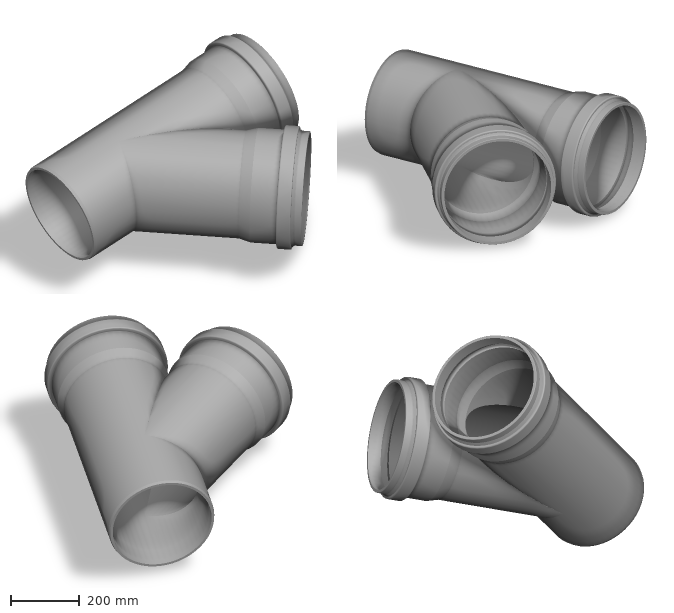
import cadquery as cq
import math

pipe_outer_d = 315.3
pipe_bore_d = 295.3
end_chamfer_length = 9.0
end_chamfer_angle = 15.0

body_outer_d = 334.7
body_inner_d = 317.1
rim_outer_d = 335.1
rim_inner_d = 317.5
ring_outer_d = 360.8
groove_d = 343.2
flare_d = 346.0

rim_length = 22.0
ring_start = 31.0
ring_end = 73.5
body_end = 151.0
taper_end = 186.0
ring_fillet = 4.0
mouth_fillet = 1.5
root_fillet = 1.5
ring_wall = (ring_outer_d - groove_d) / 2

overall_x = 685.0
overall_y = 767.0
spigot_length = 224.0
branch_angle = 45.0
crotch_fillet = 1.5
run_length = overall_y - spigot_length

pick_margin = 0.05
crotch_margin = 2.0

tilt = math.radians(branch_angle)
corner_reach = (
    (rim_outer_d / 2 - mouth_fillet) * math.cos(tilt)
    - mouth_fillet * math.sin(tilt)
    + mouth_fillet
)
branch_length = (overall_x - ring_outer_d / 2 - corner_reach) / math.sin(tilt)


def revolve_about_y(points):
    return cq.Workplane("XY").polyline(points).close().revolve(360, (0, 0, 0), (0, 1, 0))


def fillet_roots(arm, mouth):
    """Round the two inner corners: rim to flare, and ring to socket body."""
    roots = [
        (rim_outer_d / 2, mouth - rim_length),
        (body_outer_d / 2, mouth - ring_end),
    ]
    for radius, height in roots:
        box = cq.selectors.BoxSelector(
            (-radius - pick_margin, height - pick_margin, -radius - pick_margin),
            (radius + pick_margin, height + pick_margin, radius + pick_margin),
            boundingbox=True,
        )
        arm = arm.edges(box).edges("%CIRCLE").fillet(root_fillet)
    return arm


def arm_outside(mouth):
    """Outer shape of a pipe along +Y from the origin, with its socket mouth at y = mouth."""
    arm = revolve_about_y([
        (0, 0),
        (pipe_outer_d / 2, 0),
        (pipe_outer_d / 2, mouth - taper_end),
        (body_outer_d / 2, mouth - body_end),
        (body_outer_d / 2, mouth - ring_end),
        (flare_d / 2, mouth - ring_end),
        (flare_d / 2, mouth - ring_start),
        (rim_outer_d / 2, mouth - rim_length),
        (rim_outer_d / 2, mouth),
        (0, mouth),
    ])
    arm = arm.faces(">Y").edges().fillet(mouth_fillet)
    ring = (
        cq.Workplane("XZ", origin=(0, mouth - ring_start, 0))
        .circle(ring_outer_d / 2)
        .extrude(ring_end - ring_start)
        .edges()
        .fillet(ring_fillet)
    )
    return fillet_roots(arm.union(ring), mouth)


def arm_inside(mouth):
    """Bore of the same arm: pipe bore, taper, socket bore and seal groove."""
    return revolve_about_y([
        (0, 0),
        (pipe_bore_d / 2, 0),
        (pipe_bore_d / 2, mouth - taper_end),
        (body_inner_d / 2, mouth - body_end),
        (body_inner_d / 2, mouth - ring_end + ring_wall),
        (groove_d / 2, mouth - ring_end + ring_wall),
        (groove_d / 2, mouth - ring_start - ring_wall),
        (rim_inner_d / 2, mouth - ring_start - ring_wall),
        (rim_inner_d / 2, mouth),
        (0, mouth),
    ])


def spigot_outside():
    """Plain pipe along -Y with a shallow lead-in chamfer at its free end."""
    radius = pipe_outer_d / 2
    tip_radius = radius - end_chamfer_length * math.tan(math.radians(end_chamfer_angle))
    return revolve_about_y([
        (0, 0),
        (radius, 0),
        (radius, end_chamfer_length - spigot_length),
        (tip_radius, -spigot_length),
        (0, -spigot_length),
    ])


def spigot_inside():
    return cq.Workplane("XZ").circle(pipe_bore_d / 2).extrude(spigot_length)


def tilt_to_branch(shape):
    return shape.rotate((0, 0, 0), (0, 0, 1), -branch_angle)


def is_in_crotch(edge):
    """True for the edges where the two arms meet, along the plane halving their angle."""
    centre = edge.Center()
    offset = centre.x * math.cos(tilt / 2) - centre.y * math.sin(tilt / 2)
    return abs(offset) < crotch_margin and centre.y > crotch_margin


def fillet_crotch(body):
    edges = [edge for edge in body.edges().vals() if is_in_crotch(edge)]
    return body.newObject(edges).fillet(crotch_fillet)


outside = (
    spigot_outside()
    .union(arm_outside(run_length))
    .union(tilt_to_branch(arm_outside(branch_length)))
)
outside = fillet_crotch(outside)
inside = (
    spigot_inside()
    .union(arm_inside(run_length))
    .union(tilt_to_branch(arm_inside(branch_length)))
    .clean()
)
result = outside.cut(inside)